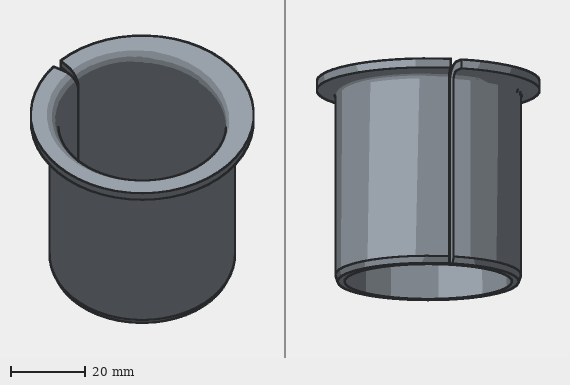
import cadquery as cq

flange_diameter = 60.0
body_diameter = 49.95
bore_diameter = 45.0
height = 55.0
inner_bend_radius = 4.5
chamfer_height = 1.8
chamfer_width = 0.65
split_width_at_bore = 0.35
split_width_at_rim = 2.95

flange_radius = flange_diameter / 2
body_radius = body_diameter / 2
bore_radius = bore_diameter / 2
wall = body_radius - bore_radius
outer_bend_radius = inner_bend_radius - wall
bend_center_radius = bore_radius + inner_bend_radius
bend_center_z = height - inner_bend_radius


def bend_midpoint(radius):
    """Middle of a quarter bend between the sleeve and the flange."""
    offset = radius * 0.5 ** 0.5
    return (bend_center_radius - offset, bend_center_z + offset)


def revolved_bushing():
    """Sleeve and flange of one wall thickness, joined by concentric bends."""
    profile = (
        cq.Workplane("XZ")
        .moveTo(bore_radius, 0)
        .lineTo(body_radius - chamfer_width, 0)
        .lineTo(body_radius, chamfer_height)
        .lineTo(body_radius, bend_center_z)
        .threePointArc(bend_midpoint(outer_bend_radius), (bend_center_radius, height - wall))
        .lineTo(flange_radius, height - wall)
        .lineTo(flange_radius, height)
        .lineTo(bend_center_radius, height)
        .threePointArc(bend_midpoint(inner_bend_radius), (bore_radius, bend_center_z))
        .close()
    )
    bushing = profile.revolve(360, (0, 0, 0), (0, 1, 0))
    return bushing.rotate((0, 0, 0), (0, 0, 1), 180)


def split_wedge():
    """Full-height wedge that widens from the bore to the flange rim."""
    return (
        cq.Workplane("XY")
        .polyline([
            (-bore_radius, -split_width_at_bore / 2),
            (-bore_radius, split_width_at_bore / 2),
            (-flange_radius, split_width_at_rim / 2),
            (-flange_radius, -split_width_at_rim / 2),
        ])
        .close()
        .extrude(height)
    )


result = revolved_bushing().cut(split_wedge())